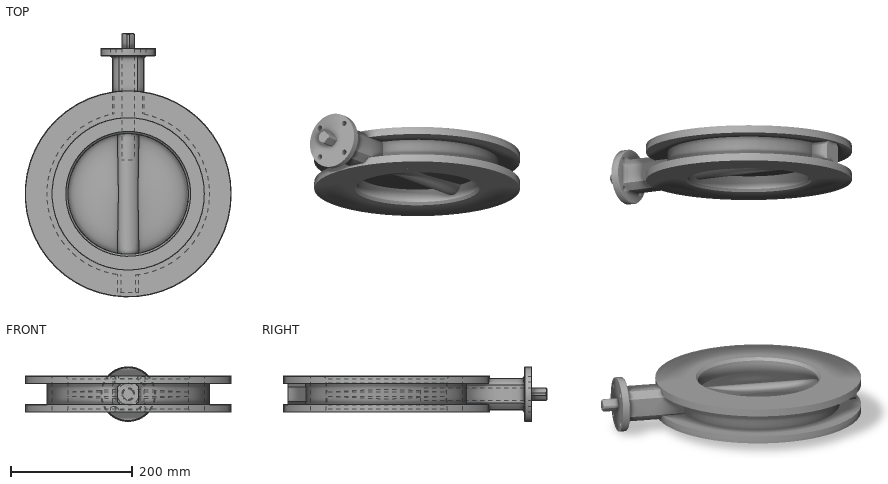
import cadquery as cq

FLANGE_DIA = 340.0
FLANGE_THICKNESS = 12.0
BODY_HEIGHT = 59.0
WEB_DIA = 269.0
FLANGE_GAP = BODY_HEIGHT - 2 * FLANGE_THICKNESS

LINER_OUTER_DIA = 251.5
BORE_DIA = 199.2
BORE_LEAD_IN = 3.5
BORE_LEAD_IN_DEPTH = 5.0

OVERALL_LENGTH = 435.0
STEM_TOP = OVERALL_LENGTH - FLANGE_DIA / 2
STEM_PROJECTION = 25.2
MOUNT_TOP = STEM_TOP - STEM_PROJECTION

MOUNT_DIA = 90.0
MOUNT_THICKNESS = 12.0
MOUNT_CHAMFER = 1.5
MOUNT_BOTTOM = MOUNT_TOP - MOUNT_THICKNESS
BOLT_CIRCLE_DIA = 70.0
BOLT_HOLE_DIA = 9.0
BOLT_COUNT = 4
BOLT_START_ANGLE = 45

NECK_WIDTH = 51.8
NECK_CHAMFER = 11.0
NECK_FILLET = 5.0

BOSS_WIDTH = FLANGE_GAP
BOSS_CHAMFER = 5.2
BOSS_END = 162.5

DISC_EDGE_THICKNESS = 7.0
DISC_CENTRE_THICKNESS = 17.5
HUB_DIA = 36.0

STEM_DIA = 21.0
STEM_SQUARE = 17.5
STEM_SQUARE_TURN = 45
STEM_CHAMFER = 1.7
STEM_DEPTH_IN_HUB = 43.5
STEM_BOTTOM = BORE_DIA / 2 - STEM_DEPTH_IN_HUB


def plane_at_y(y):
    """Plane across the stem axis: local x is -X, local y is Z, and it extrudes toward +Y."""
    return cq.Workplane(cq.Plane(origin=(0, y, 0), xDir=(-1, 0, 0), normal=(0, 1, 0)))


def cylinder_z(diameter, height):
    """Cylinder about the bore axis, centred on the middle plane."""
    return cq.Workplane("XY").circle(diameter / 2).extrude(height / 2, both=True)


def chamfered_bar(width, chamfer, y_start, y_end):
    """Square bar along Y with its four long edges chamfered."""
    bar = plane_at_y(y_start).rect(width, width).extrude(y_end - y_start)
    return bar.edges("|Y").chamfer(chamfer)


def make_stem_blank():
    """Round stem from its end in the disc hub up to its top."""
    return plane_at_y(STEM_BOTTOM).circle(STEM_DIA / 2).extrude(STEM_TOP - STEM_BOTTOM)


def make_flange_ring():
    """Web with a flat flange at each end."""
    ring = cylinder_z(FLANGE_DIA, BODY_HEIGHT)
    groove = cylinder_z(FLANGE_DIA, FLANGE_GAP).cut(cylinder_z(WEB_DIA, FLANGE_GAP))
    return ring.cut(groove)


def make_mount_flange():
    """Round actuator flange with its underside edge chamfered."""
    flange = plane_at_y(MOUNT_BOTTOM).circle(MOUNT_DIA / 2).extrude(MOUNT_THICKNESS)
    return flange.faces("<Y").edges().chamfer(MOUNT_CHAMFER)


def make_neck():
    """Octagonal neck carrying the mounting flange, filleted where they meet."""
    neck = chamfered_bar(NECK_WIDTH, NECK_CHAMFER, 0, MOUNT_BOTTOM).union(make_mount_flange())
    reach = NECK_WIDTH / 2 + NECK_FILLET
    junction = cq.selectors.BoxSelector(
        (-reach, MOUNT_BOTTOM - NECK_FILLET / 2, -reach),
        (reach, MOUNT_BOTTOM + MOUNT_CHAMFER / 2, reach),
    )
    return neck.edges("%LINE").edges(junction).fillet(NECK_FILLET)


def make_bolt_holes():
    """Bolt holes through the mounting flange, clearing the neck fillet below it."""
    return (
        plane_at_y(MOUNT_BOTTOM - NECK_FILLET)
        .polarArray(BOLT_CIRCLE_DIA / 2, BOLT_START_ANGLE, 360, BOLT_COUNT)
        .circle(BOLT_HOLE_DIA / 2)
        .extrude(MOUNT_THICKNESS + NECK_FILLET)
    )


def make_housing():
    """Flanged ring with its neck and boss, bored for the liner and the stem."""
    housing = make_flange_ring()
    housing = housing.union(make_neck())
    housing = housing.union(chamfered_bar(BOSS_WIDTH, BOSS_CHAMFER, -BOSS_END, 0))
    housing = housing.cut(make_bolt_holes())
    housing = housing.cut(cylinder_z(LINER_OUTER_DIA, BODY_HEIGHT))
    return housing.cut(make_stem_blank())


def make_liner():
    """Seat ring lining the housing, with a conical lead-in at both ends of the bore."""
    bore = BORE_DIA / 2
    outer = LINER_OUTER_DIA / 2
    top = BODY_HEIGHT / 2
    lead_in_start = top - BORE_LEAD_IN_DEPTH
    liner = (
        cq.Workplane("XZ")
        .polyline([
            (bore, -lead_in_start),
            (bore + BORE_LEAD_IN, -top),
            (outer, -top),
            (outer, top),
            (bore + BORE_LEAD_IN, top),
            (bore, lead_in_start),
        ])
        .close()
        .revolve(360, (0, 0, 0), (0, 1, 0))
    )
    return liner.cut(make_stem_blank())


def make_disc():
    """Disc with conical faces and a hub along the stem axis, closing the bore."""
    bore = BORE_DIA / 2
    plate = (
        cq.Workplane("XZ")
        .polyline([
            (0, -DISC_CENTRE_THICKNESS / 2),
            (bore, -DISC_EDGE_THICKNESS / 2),
            (bore, DISC_EDGE_THICKNESS / 2),
            (0, DISC_CENTRE_THICKNESS / 2),
        ])
        .close()
        .revolve(360, (0, 0, 0), (0, 1, 0))
    )
    hub = plane_at_y(-bore).circle(HUB_DIA / 2).extrude(BORE_DIA)
    hub = hub.intersect(cylinder_z(BORE_DIA, BODY_HEIGHT))
    return plate.union(hub).cut(make_stem_blank())


def make_stem():
    """Round stem whose projecting end is a square set on its corner."""
    stem = make_stem_blank().faces(">Y").edges().chamfer(STEM_CHAMFER)
    square = plane_at_y(MOUNT_TOP).rect(STEM_SQUARE, STEM_SQUARE).extrude(STEM_PROJECTION)
    square = square.rotate((0, 0, 0), (0, 1, 0), STEM_SQUARE_TURN)
    around_end = plane_at_y(MOUNT_TOP).circle(STEM_DIA).extrude(STEM_PROJECTION)
    return stem.cut(around_end.cut(square))


housing = make_housing()
liner = make_liner()
disc = make_disc()
stem = make_stem()

result = cq.Compound.makeCompound([housing.val(), liner.val(), disc.val(), stem.val()])